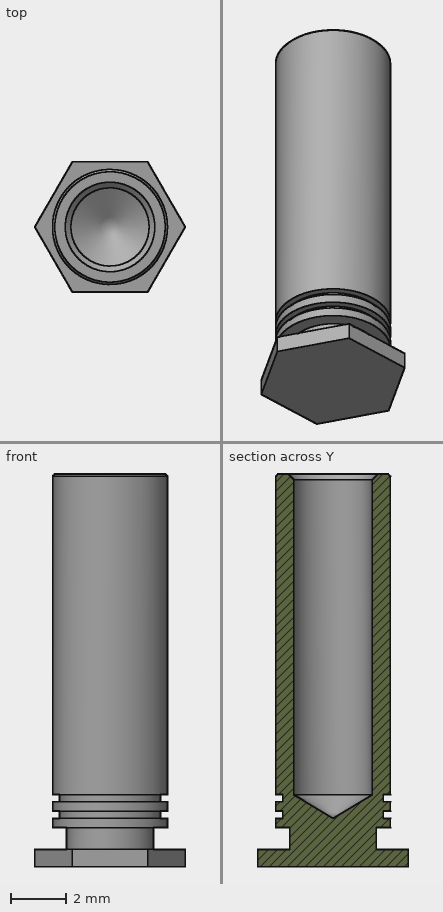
import cadquery as cq
import math

total_height = 14.29
head_across_flats = 4.75
head_height = 0.65

barrel_diameter = 4.19
neck_diameter = 3.17
groove_diameter = 3.69
neck_height = 0.79
collar_height = 0.35
groove_height = 0.26
collar_count = 2
rim_chamfer = 0.09

bore_diameter = 2.85
mouth_diameter = 3.26
mouth_depth = (mouth_diameter - bore_diameter) / 2
drill_point_angle = 118.0
collars_start = head_height + neck_height
barrel_start = collars_start + collar_count * (collar_height + groove_height)
bore_floor = barrel_start
drill_point_height = bore_diameter / 2 / math.tan(math.radians(drill_point_angle / 2))


def cylinder(diameter, bottom, height):
    return cq.Workplane("XY").workplane(offset=bottom).circle(diameter / 2).extrude(height)


def make_head():
    across_corners = head_across_flats / math.cos(math.pi / 6)
    return cq.Workplane("XY").polygon(6, across_corners).extrude(head_height)


def make_collars():
    collars = cylinder(groove_diameter, collars_start, barrel_start - collars_start)
    for index in range(collar_count):
        bottom = collars_start + index * (collar_height + groove_height)
        collars = collars.union(cylinder(barrel_diameter, bottom, collar_height))
    return collars


def make_barrel():
    barrel = cylinder(barrel_diameter, barrel_start, total_height - barrel_start)
    return barrel.faces(">Z").edges().chamfer(rim_chamfer)


def make_bore():
    bore_radius = bore_diameter / 2
    return (
        cq.Workplane("XZ")
        .moveTo(0, bore_floor - drill_point_height)
        .lineTo(bore_radius, bore_floor)
        .lineTo(bore_radius, total_height - mouth_depth)
        .lineTo(mouth_diameter / 2, total_height)
        .lineTo(0, total_height)
        .close()
        .revolve(360, (0, 0, 0), (0, 1, 0))
    )


neck = cylinder(neck_diameter, head_height, neck_height)
result = make_head().union(neck).union(make_collars()).union(make_barrel()).cut(make_bore())